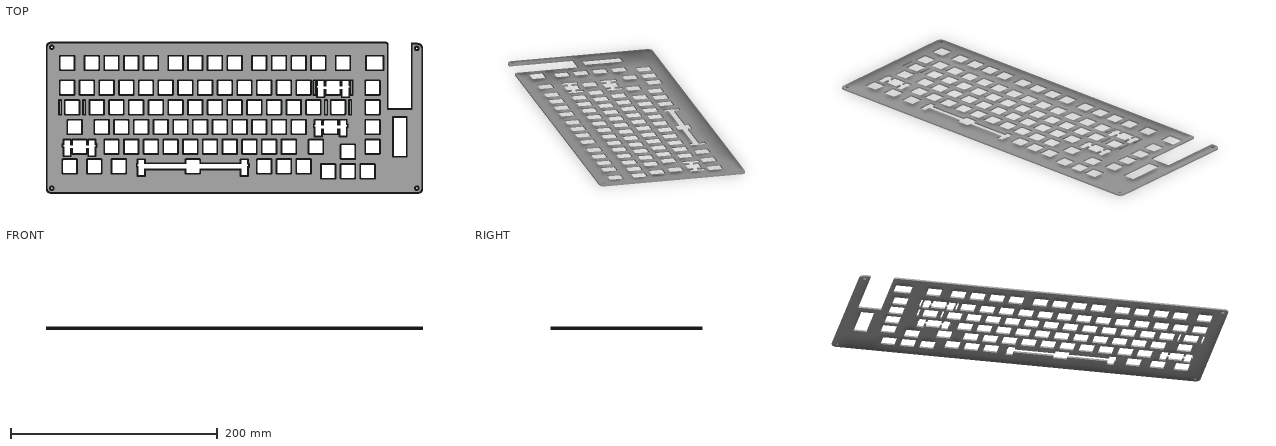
import cadquery as cq

length = 364.0
width = 146.0
thickness = 1.5
corner_rounding = 4.7
arm_rounding = 5.5
screw_diameter = 3.4
screw_inset_left = 5.0
screw_inset_right = 5.5
screw_inset_y = 4.7

bay_left = 330.5
bay_right = 353.5
bay_depth = 64.5
bay_corner_radius = 2.5
arm_setback = 1.0

window_left = 335.5
window_width = 13.0
window_front = 35.3
window_length = 38.2

grid_span = 286.0
pitch = grid_span / 15
web = 5.0
opening = pitch - web
opening_radius = 0.55
first_key_x = 20.0
front_row_y = 26.0
wide_opening_width = 16.7
wide_opening_x = 317.5

short_reach = 12.0
long_reach = 50.0
pocket_width = 7.0
pocket_back = 7.0
pocket_front = 9.0
ear_reach = 4.5
ear_back = 2.5
ear_front = 0.5
short_channel = 4.0
long_channel = 6.0

slit_width = 2.05
tab_slit_reach = 11.5
backspace_slit_reach = 18.0

NUMBER_ROW = 4
TAB_ROW = 3
CAPS_ROW = 2
SHIFT_ROW = 1
FRONT_ROW = 0
FUNCTION_ROW = 5.25
UP_ARROW_ROW = 0.75
ARROW_ROW = -0.25

BACKSPACE = 13.5
TAB = 0.25
BACKSLASH = 13.75
ENTER = 13.375
LEFT_SHIFT = 0.625
SPACE = 6.375
SIDE_COLUMN = 15.5


def run(start, count):
    """Columns of a run of neighbouring single-unit keys."""
    return [start + i for i in range(count)]


rows = {
    FUNCTION_ROW: [0] + run(1.25, 4) + run(5.5, 4) + run(9.75, 4) + [14],
    NUMBER_ROW: run(0, 13) + [BACKSPACE, SIDE_COLUMN],
    TAB_ROW: [TAB] + run(1.5, 12) + [BACKSLASH, SIDE_COLUMN],
    CAPS_ROW: [0.375] + run(1.75, 11) + [ENTER, SIDE_COLUMN],
    SHIFT_ROW: [LEFT_SHIFT] + run(2.25, 10) + [12.625, SIDE_COLUMN],
    FRONT_ROW: [0.125, 1.375, 2.625, SPACE] + run(10, 3),
    UP_ARROW_ROW: [14.25],
    ARROW_ROW: run(13.25, 3),
}


def key_x(column):
    return first_key_x + column * pitch


def key_y(row):
    return front_row_y + row * pitch


def block(x_min, x_max, y_min, y_max):
    """Cutter through the full thickness."""
    return (
        cq.Workplane("XY")
        .box(x_max - x_min, y_max - y_min, thickness, centered=False)
        .translate((x_min, y_min, 0))
    )


def centered_block(x, y, size_x, size_y):
    return block(x - size_x / 2, x + size_x / 2, y - size_y / 2, y + size_y / 2)


def key_cutter(x, y, size_x=opening):
    return centered_block(x, y, size_x, opening).edges("|Z").fillet(opening_radius)


def stabilizer_cutter(x, y, reach, channel):
    """Two eared pockets either side of a key, joined by a wire channel."""
    cutter = centered_block(x, y, 2 * reach, channel)
    for side in (-1, 1):
        pocket_x = x + side * reach
        pocket = block(
            pocket_x - pocket_width / 2, pocket_x + pocket_width / 2,
            y - pocket_front, y + pocket_back,
        )
        ear_tip = pocket_x + side * ear_reach
        ear = block(
            min(pocket_x, ear_tip), max(pocket_x, ear_tip),
            y - ear_front, y + ear_back,
        )
        cutter = cutter.union(pocket).union(ear)
    return cutter


def slit_cutters(x, y, reach):
    return [centered_block(x + side * reach, y, slit_width, opening) for side in (-1, 1)]


def round_corner(plate, x, y, radius):
    corner = cq.selectors.NearestToPointSelector((x, y, thickness / 2))
    return plate.edges("|Z").edges(corner).fillet(radius)


def make_plate():
    arm_back = width - arm_setback
    plate = block(0, length, 0, width)
    plate = plate.cut(block(bay_left, bay_right, width - bay_depth, width))
    plate = plate.cut(block(bay_right, length, arm_back, width))
    plate = plate.edges("|Z and (<X or <Y)").fillet(corner_rounding)
    plate = round_corner(plate, length, arm_back, arm_rounding)
    return round_corner(plate, bay_left, width, bay_corner_radius)


cutters = []
for row, columns in rows.items():
    for column in columns:
        cutters.append(key_cutter(key_x(column), key_y(row)))
cutters.append(key_cutter(wide_opening_x, key_y(FUNCTION_ROW), wide_opening_width))

for column, row, reach, channel in (
    (BACKSPACE, NUMBER_ROW, short_reach, short_channel),
    (ENTER, CAPS_ROW, short_reach, short_channel),
    (LEFT_SHIFT, SHIFT_ROW, short_reach, short_channel),
    (SPACE, FRONT_ROW, long_reach, long_channel),
):
    cutters.append(stabilizer_cutter(key_x(column), key_y(row), reach, channel))

for column, row, reach in (
    (TAB, TAB_ROW, tab_slit_reach),
    (BACKSLASH, TAB_ROW, tab_slit_reach),
    (BACKSPACE, NUMBER_ROW, backspace_slit_reach),
):
    cutters.extend(slit_cutters(key_x(column), key_y(row), reach))

cutters.append(
    block(window_left, window_left + window_width, window_front, window_front + window_length)
)

for x, y in (
    (screw_inset_left, screw_inset_y),
    (screw_inset_left, width - screw_inset_y),
    (length - screw_inset_right, screw_inset_y),
    (length - screw_inset_right, width - arm_setback - screw_inset_y),
):
    cutters.append(cq.Workplane("XY").center(x, y).circle(screw_diameter / 2).extrude(thickness))

opening_solids = [cutter.val() for cutter in cutters]
result = cq.Workplane(make_plate().val().cut(*opening_solids)).solids()